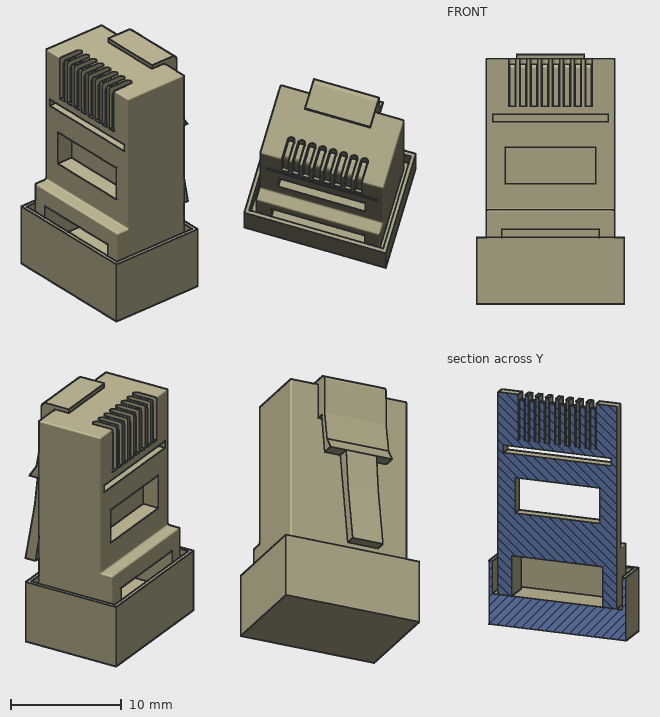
import cadquery as cq


CAP_WIDTH = 13.33
CAP_DEPTH = 9.6
CAP_HEIGHT = 6.02
CAP_WALL = 0.35
CAP_FLOOR = 2.95

PLUG_WIDTH = 11.65
PLUG_BACK_Y = 4.0
PLUG_FRONT_Y = -2.66
FOOT_FRONT_Y = -3.93
FOOT_TOP_Z = 8.5
PLUG_TOP_Z = 22.18
EDGE_RADIUS = 0.15

BAR_WIDTH = 10.42
BAR_HEIGHT = 0.68
BAR_BOTTOM_Z = 16.47
WINDOW_WIDTH = 8.17
WINDOW_HEIGHT = 3.32
WINDOW_BOTTOM_Z = 10.87
POCKET_DEPTH = 1.62
CABLE_WIDTH = 8.8
CABLE_TOP_Z = 6.75
CABLE_DEPTH = 4.51

CONTACT_COUNT = 8
CONTACT_ROW = 6.9
CONTACT_PITCH = CONTACT_ROW / (CONTACT_COUNT - 1)
SLOT_WIDTH = 0.65
SLOT_END_Y = -0.38
SLOT_BOTTOM_Z = 17.87
CONTACT_WIDTH = 0.5
CONTACT_FRONT_Y = -2.37
CONTACT_BACK_Y = -0.56
CONTACT_TOP_Z = 21.68
CONTACT_RADIUS = 0.4

LATCH_WIDTH = 6.14
LEVER_WIDTH = 3.02
LATCH_TOP_Z = 22.55
LATCH_FRONT_Y = 2.44
LATCH_BACK_Y = 5.37
LATCH_RADIUS = 0.56
ROOT_BOTTOM_Z = 18.75
ROOT_INNER_Y = 4.72
RAMP_TOP = (5.89, 15.88)
RAMP_BOTTOM = (6.63, 14.75)
LEVER_BEND = (7.02, 11.05)
LEVER_TIP_Z = 5.37
LEVER_TIP_Y = 8.0
LEVER_TIP_THICKNESS = 1.05


def box(width, y_min, y_max, z_min, z_max):
    """Box centred on X = 0, given by its limits along Y and Z."""
    return (
        cq.Workplane("XY", origin=(0, (y_min + y_max) / 2, z_min))
        .box(width, y_max - y_min, z_max - z_min, centered=(True, True, False))
    )


def side_profile(points, width):
    """Closed outline of (Y, Z) points, extruded along X to both sides of X = 0."""
    return cq.Workplane("YZ").polyline(points).close().extrude(width / 2, both=True)


def make_cap():
    outer = box(CAP_WIDTH, -CAP_DEPTH / 2, CAP_DEPTH / 2, 0, CAP_HEIGHT)
    inner_y = CAP_DEPTH / 2 - CAP_WALL
    recess = box(CAP_WIDTH - 2 * CAP_WALL, -inner_y, inner_y, CAP_FLOOR, CAP_HEIGHT)
    return outer.cut(recess)


def make_housing():
    """Stepped block with every edge rounded except those around its bottom."""
    outline = [
        (PLUG_BACK_Y, CAP_FLOOR),
        (PLUG_BACK_Y, PLUG_TOP_Z),
        (PLUG_FRONT_Y, PLUG_TOP_Z),
        (PLUG_FRONT_Y, FOOT_TOP_Z),
        (FOOT_FRONT_Y, FOOT_TOP_Z),
        (FOOT_FRONT_Y, CAP_FLOOR),
    ]
    block = side_profile(outline, PLUG_WIDTH)
    return block.edges("not(<Z)").fillet(EDGE_RADIUS)


def make_pockets():
    """Bar groove, window, and the cable opening that runs out through the bottom."""
    pocket_back_y = PLUG_FRONT_Y + POCKET_DEPTH
    bar = box(BAR_WIDTH, PLUG_FRONT_Y, pocket_back_y, BAR_BOTTOM_Z, BAR_BOTTOM_Z + BAR_HEIGHT)
    window = box(
        WINDOW_WIDTH, PLUG_FRONT_Y, pocket_back_y, WINDOW_BOTTOM_Z, WINDOW_BOTTOM_Z + WINDOW_HEIGHT
    )
    cable = box(CABLE_WIDTH, FOOT_FRONT_Y, FOOT_FRONT_Y + CABLE_DEPTH, CAP_FLOOR, CABLE_TOP_Z)
    return bar.union(window).union(cable)


def make_slot():
    """Contact slot with a half-round inner end, open to the front and the top."""
    radius = SLOT_WIDTH / 2
    round_y = SLOT_END_Y - radius
    straight = box(SLOT_WIDTH, PLUG_FRONT_Y, round_y, SLOT_BOTTOM_Z, PLUG_TOP_Z)
    round_end = (
        cq.Workplane("XY", origin=(0, round_y, SLOT_BOTTOM_Z))
        .circle(radius)
        .extrude(PLUG_TOP_Z - SLOT_BOTTOM_Z)
    )
    return straight.union(round_end)


def make_contact():
    """Contact blade standing on the slot floor, its two top corners rounded."""
    blade = box(CONTACT_WIDTH, CONTACT_FRONT_Y, CONTACT_BACK_Y, SLOT_BOTTOM_Z, CONTACT_TOP_Z)
    return blade.edges("|X and >Z").fillet(CONTACT_RADIUS)


def make_latch():
    """Root hooked over the top of the housing, with a ramp down to a narrower lever."""
    root = side_profile(
        [
            (LATCH_FRONT_Y, PLUG_TOP_Z),
            (LATCH_FRONT_Y, LATCH_TOP_Z),
            (LATCH_BACK_Y, LATCH_TOP_Z),
            (LATCH_BACK_Y, ROOT_BOTTOM_Z),
            (PLUG_BACK_Y - EDGE_RADIUS, ROOT_BOTTOM_Z),
            (PLUG_BACK_Y - EDGE_RADIUS, PLUG_TOP_Z),
        ],
        LATCH_WIDTH,
    )
    root = root.edges("|X and >Y and >Z").fillet(LATCH_RADIUS)

    tip_inner_y = LEVER_TIP_Y - LEVER_TIP_THICKNESS
    inner_slope = (tip_inner_y - ROOT_INNER_Y) / (ROOT_BOTTOM_Z - LEVER_TIP_Z)
    ramp_bottom_z = RAMP_BOTTOM[1]
    ramp_inner = (ROOT_INNER_Y + inner_slope * (ROOT_BOTTOM_Z - ramp_bottom_z), ramp_bottom_z)

    ramp = side_profile(
        [
            (ROOT_INNER_Y, ROOT_BOTTOM_Z),
            (LATCH_BACK_Y, ROOT_BOTTOM_Z),
            RAMP_TOP,
            RAMP_BOTTOM,
            ramp_inner,
        ],
        LATCH_WIDTH,
    )
    lever = side_profile(
        [
            ramp_inner,
            RAMP_BOTTOM,
            LEVER_BEND,
            (LEVER_TIP_Y, LEVER_TIP_Z),
            (tip_inner_y, LEVER_TIP_Z),
        ],
        LEVER_WIDTH,
    )
    return root.union(ramp).union(lever)


def make_plug():
    plug = make_housing().cut(make_pockets())
    for index in range(CONTACT_COUNT):
        place = (index * CONTACT_PITCH - CONTACT_ROW / 2, 0, 0)
        plug = plug.cut(make_slot().translate(place))
        plug = plug.union(make_contact().translate(place))
    return plug.union(make_latch())


cap = make_cap()
plug = make_plug()

result = cq.Compound.makeCompound([cap.val(), plug.val()])